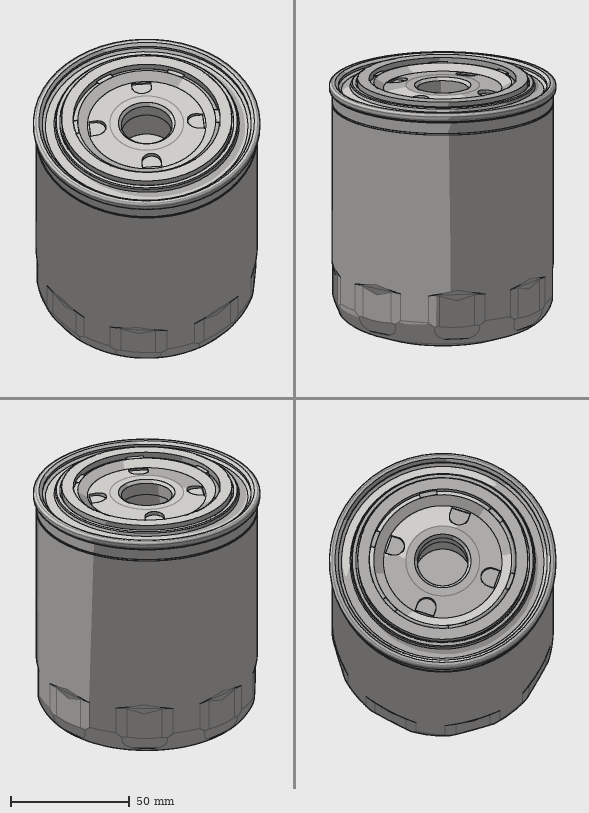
import cadquery as cq
import math

height = 113.9

body_radius = 46.8
body_top = 107.9
seam_height = 102.9
seam_width = 0.7
seam_depth = 0.17
dome_radius = 96.8
corner_radius = 12.5

rim_radius = 48.0
rim_bottom = 108.5
rim_top = 111.9
rim_round = 1.0
neck_radius = 46.5
rim_crest_radius = 45.6

valley_wall_radius = 44.2
valley_wall_foot = 109.8
valley_wall_drop = 1.0
valley_radius = 42.8
valley_floor = 109.0
valley_inner_radius = 39.2
valley_inner_top = 110.4
lip_outer_radius = 38.7
lip_chamfer = 0.5
lip_inner_radius = 36.8
lip_top = 112.1

gasket_outer_radius = 36.0
gasket_inner_radius = 31.1
gasket_groove_floor = 111.1

bead_radius = 29.2
bead_top = 112.1
bead_foot = 111.0
dish_radius = 25.1
dish_floor = 109.7
hub_radius = 15.6
hub_top = 111.0

bore_radius = 10.7
bore_chamfer = 1.3
bore_relief_radius = 12.0
plate_underside = 104.4
bore_bottom = 91.1

inlet_count = 4
inlet_radius = 4.1
inlet_center = 21.4
inlet_outer_edge = 24.2
inlet_floor = 109.0
inlet_first_angle = 47.0

tab_count = 6
tab_width = 7.4
tab_first_angle = 47.5

flute_count = 8
flute_first_angle = -98.0
flute_flat_distance = 45.8
flute_flat_half_width = 7.4
flute_half_width = 12.1
flute_top_radius = 74.6
flute_bottom_radius = 227.9
flute_flat_top = 29.2
flute_bend_height = 32.0
flute_top = 34.1
flute_flat_bottom = 17.4
flute_bottom = 11.7
flute_bottom_distance = 43.6
flute_run_out_height = 21.1
flute_run_out_distance = 46.3
flute_end_sweep = 6.0
flute_margin = 3.4


def ring(outer, inner, bottom, top):
    """Plain ring around the Z axis."""
    return cq.Workplane("XY").workplane(offset=bottom).circle(outer).circle(inner).extrude(top - bottom)


def polar_copies(shape, count, first_angle):
    """Copies of a shape made on the +X axis, spread evenly around Z."""
    return [shape.rotate((0, 0, 0), (0, 0, 1), first_angle + i * 360 / count) for i in range(count)]


def level_arc_middle(level_point, end_point):
    """Middle of an arc that is level at one end point and passes through the other."""
    run = end_point[0] - level_point[0]
    rise = end_point[1] - level_point[1]
    chord = math.hypot(run, rise)
    radius = chord**2 / (2 * rise)
    return (
        level_point[0] + math.copysign(chord / 2, run),
        level_point[1] + radius * (1 - abs(run) / chord),
    )


def make_canister():
    """Can, rim and lid as one revolved outline."""
    center_x = body_radius - corner_radius
    tilt = math.asin(center_x / (dome_radius - corner_radius))
    center_z = dome_radius - (dome_radius - corner_radius) * math.cos(tilt)
    middle = (tilt + math.pi / 2) / 2

    def on_corner(angle):
        return (center_x + corner_radius * math.sin(angle), center_z - corner_radius * math.cos(angle))

    dome_middle = (dome_radius * math.sin(tilt / 2), dome_radius * (1 - math.cos(tilt / 2)))
    round_inset = rim_round * (1 - math.sqrt(0.5))

    valley_low = (valley_radius, valley_floor)
    valley_end = (valley_inner_radius, valley_inner_top)
    bead_crest = (bead_radius, bead_top)
    bead_edge = (gasket_inner_radius, bead_foot)
    outline = (
        cq.Workplane("XZ")
        .moveTo(0, 0)
        .threePointArc(dome_middle, on_corner(tilt))
        .threePointArc(on_corner(middle), (body_radius, center_z))
        .lineTo(body_radius, body_top)
        .lineTo(neck_radius, body_top)
        .lineTo(neck_radius, rim_bottom)
        .lineTo(rim_radius - rim_round, rim_bottom)
        .threePointArc((rim_radius - round_inset, rim_bottom + round_inset), (rim_radius, rim_bottom + rim_round))
        .lineTo(rim_radius, rim_top - rim_round)
        .threePointArc((rim_radius - round_inset, rim_top - round_inset), (rim_radius - rim_round, rim_top))
        .lineTo(rim_crest_radius, rim_top)
        .lineTo(valley_wall_radius, rim_top - valley_wall_drop)
        .lineTo(valley_wall_radius, valley_wall_foot)
        .lineTo(*valley_low)
        .threePointArc(level_arc_middle(valley_low, valley_end), valley_end)
        .lineTo(lip_outer_radius, lip_top - lip_chamfer)
        .lineTo(lip_outer_radius - lip_chamfer, lip_top)
        .lineTo(lip_inner_radius, lip_top)
        .lineTo(lip_inner_radius, gasket_groove_floor)
        .lineTo(gasket_outer_radius, gasket_groove_floor)
        .lineTo(gasket_outer_radius, height)
        .lineTo(gasket_inner_radius, height)
        .lineTo(*bead_edge)
        .threePointArc(level_arc_middle(bead_crest, bead_edge), bead_crest)
        .lineTo(dish_radius, dish_floor)
        .lineTo(hub_radius, hub_top)
        .lineTo(0, hub_top)
        .close()
    )
    return outline.revolve(360, (0, 0, 0), (0, 1, 0))


def make_seam():
    bottom = seam_height - seam_width / 2
    return ring(rim_radius, body_radius - seam_depth, bottom, bottom + seam_width)


def make_bore():
    """Chamfered bore that widens below the base plate."""
    outline = (
        cq.Workplane("XZ")
        .moveTo(0, bore_bottom)
        .lineTo(bore_relief_radius, bore_bottom)
        .lineTo(bore_relief_radius, plate_underside)
        .lineTo(bore_radius, plate_underside)
        .lineTo(bore_radius, hub_top - bore_chamfer)
        .lineTo(bore_radius + bore_chamfer, hub_top)
        .lineTo(0, hub_top)
        .close()
    )
    return outline.revolve(360, (0, 0, 0), (0, 1, 0))


def make_inlet():
    """Pocket with a round inner end and a straight outer end."""
    return (
        cq.Workplane("XY")
        .workplane(offset=inlet_floor)
        .moveTo(inlet_outer_edge, -inlet_radius)
        .lineTo(inlet_center, -inlet_radius)
        .threePointArc((inlet_center - inlet_radius, 0), (inlet_center, inlet_radius))
        .lineTo(inlet_outer_edge, inlet_radius)
        .close()
        .extrude(hub_top - inlet_floor)
    )


def make_tab():
    length = gasket_inner_radius - bead_radius
    tab_height = bead_top - bead_foot
    tab_middle = (gasket_inner_radius + bead_radius) / 2
    return cq.Workplane("XY").box(length, tab_width, tab_height).translate(
        (tab_middle, 0, bead_foot + tab_height / 2)
    )


def make_flute():
    """Cutter for one flute: a flat with rounded sides, a curved top and a tapering lower end."""
    outside = body_radius + flute_margin
    edge_distance = math.sqrt(body_radius**2 - flute_half_width**2)

    flat_and_sides = (
        cq.Workplane("XY")
        .workplane(offset=flute_bottom)
        .moveTo(flute_flat_distance, 0)
        .lineTo(flute_flat_distance, flute_flat_half_width)
        .tangentArcPoint((edge_distance, flute_half_width), relative=False)
        .lineTo(outside, flute_half_width)
        .lineTo(outside, 0)
        .close()
        .extrude(flute_top - flute_bottom)
    )
    flat_and_sides = flat_and_sides.union(flat_and_sides.mirror("XZ"))

    top_axis = flute_flat_distance - flute_top_radius
    bottom_axis = flute_flat_distance - flute_bottom_radius

    rise = flute_top - flute_flat_top
    lower_rise = flute_bend_height - flute_flat_top
    depth = body_radius - flute_flat_distance
    bend_distance = flute_flat_distance + depth * lower_rise / rise
    below_top = (
        cq.Workplane("XZ")
        .moveTo(flute_flat_distance, flute_bottom)
        .lineTo(flute_flat_distance, flute_flat_top)
        .tangentArcPoint((bend_distance, flute_bend_height), relative=False)
        .tangentArcPoint((body_radius, flute_top), relative=False)
        .lineTo(outside, flute_top)
        .lineTo(outside, flute_bottom)
        .close()
        .revolve(360, (top_axis, 0, 0), (top_axis, 1, 0))
    )

    lower_end = (
        cq.Workplane("XZ")
        .moveTo(flute_bottom_distance, flute_bottom)
        .threePointArc((flute_flat_distance, flute_flat_bottom), (flute_run_out_distance, flute_run_out_height))
        .lineTo(outside, flute_run_out_height)
        .lineTo(outside, flute_bottom)
        .close()
        .revolve(flute_end_sweep, (bottom_axis, 0, 0), (bottom_axis, 1, 0))
        .rotate((bottom_axis, 0, 0), (bottom_axis, 0, 1), -flute_end_sweep / 2)
    )
    return flat_and_sides.intersect(below_top).union(lower_end)


result = make_canister()
for tab in polar_copies(make_tab(), tab_count, tab_first_angle):
    result = result.union(tab)
result = result.cut(make_seam())
result = result.cut(make_bore())
for inlet in polar_copies(make_inlet(), inlet_count, inlet_first_angle):
    result = result.cut(inlet)
for flute in polar_copies(make_flute(), flute_count, flute_first_angle):
    result = result.cut(flute)